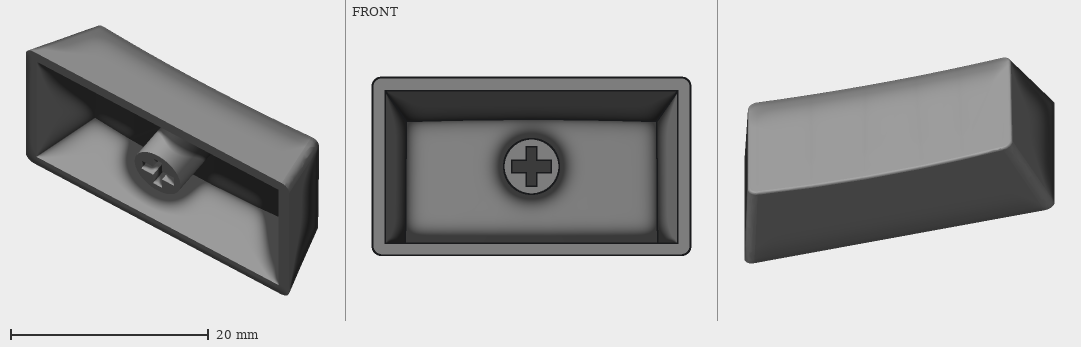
import cadquery as cq
import math

width = 32.2
height = 18.0

taper_depth = 9.2
side_inset = 2.5
upper_inset = 3.65
side_slope = side_inset / taper_depth
upper_slope = upper_inset / taper_depth

wall = 1.25
corner_radius = 1.0
rim_radius = 0.25

dish_sag = 0.6
dish_chord = 27.1
dish_lean = math.radians(1.5)
dish_middle_depth = 8.45
dish_radius = (dish_chord ** 2 / 4 + dish_sag ** 2) / (2 * dish_sag)

blank_depth = taper_depth + 1.93
dish_length = 4 * height

stem_diameter = 5.6
stem_height = height / 2
cross_length = 4.0
across_thickness = 1.3
upright_thickness = 1.1


def tapered_block(offset):
    """Block with slanted side and upper walls, every wall moved inward by offset."""
    side_shift = offset * math.hypot(1, side_slope)
    upper_shift = offset * math.hypot(1, upper_slope)

    def section(depth):
        half = width / 2 - side_shift - side_slope * depth
        top = height - upper_shift - upper_slope * depth
        corners = [(-half, offset), (half, offset), (half, top), (-half, top)]
        return cq.Wire.makePolygon([cq.Vector(x, depth, z) for x, z in corners], close=True)

    return cq.Workplane(cq.Solid.makeLoft([section(0), section(blank_depth)], True))


def dish_cylinder(radius):
    """Long cylinder about the dish axis, which moves toward +Y as it rises."""
    direction = cq.Vector(0, math.sin(dish_lean), math.cos(dish_lean))
    axis_depth = dish_middle_depth + dish_radius / math.cos(dish_lean)
    middle = cq.Vector(0, axis_depth, height / 2)
    start = middle - direction * (dish_length / 2)
    return cq.Workplane(cq.Solid.makeCylinder(radius, dish_length, start, direction))


def outer_body():
    """Solid keycap: rounded tapered block trimmed by the dish, with a softened rim."""
    slanted_edges = "not (#Y)"
    block = tapered_block(0).edges(slanted_edges).fillet(corner_radius)
    body = block.cut(dish_cylinder(dish_radius))
    dish_face = body.faces("%CYLINDER").faces(">Y")
    return dish_face.edges().fillet(rim_radius)


def stem():
    """Post from the open side into the top wall, with the cross socket running its full length."""
    plane = cq.Workplane("XZ", origin=(0, 0, stem_height))
    post = plane.circle(stem_diameter / 2).extrude(-dish_middle_depth)
    across = plane.rect(cross_length, across_thickness).extrude(-dish_middle_depth)
    upright = plane.rect(upright_thickness, cross_length).extrude(-dish_middle_depth)
    return post.cut(across).cut(upright)


cavity = tapered_block(wall).cut(dish_cylinder(dish_radius + wall)).cut(stem())
result = outer_body().cut(cavity)